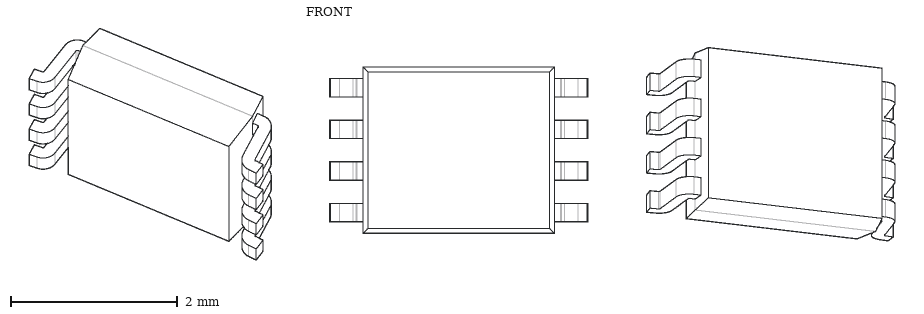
import cadquery as cq
import math


housing_length = 2.3
housing_width = 2.0
back_depth = 0.353
front_depth = 0.495
draft_angle = 7.0

lead_span = 3.1
leads_per_side = 4
lead_pitch = 0.5
lead_width = 0.223
lead_thickness = 0.158
inner_bend_radius = 0.015
lead_root = 0.155
seating_depth = 0.648
knee_x = 1.305
leg_lean = 4.7
foot_droop = 4.0


def make_housing_half(depth, direction):
    """Drafted block growing from the parting plane; direction is +1 for +Y, -1 for -Y."""
    plane = cq.Plane(origin=(0, 0, 0), xDir=(1, 0, 0), normal=(0, direction, 0))
    return cq.Workplane(plane).rect(housing_length, housing_width).extrude(depth, taper=draft_angle)


def make_housing():
    """Moulded block, widest at the parting plane and drafted toward both faces."""
    return make_housing_half(back_depth, 1).union(make_housing_half(front_depth, -1))


def make_lead_centreline():
    """Gull-wing path of the lead on the +X side, from inside the housing to the tip."""
    half_thickness = lead_thickness / 2
    lean = math.tan(math.radians(leg_lean))
    droop = math.radians(foot_droop)

    shoulder_y = half_thickness
    tip_x = lead_span / 2 - half_thickness * math.sin(droop)
    tip_y = half_thickness * math.cos(droop) - seating_depth

    foot_slope = math.tan(droop)
    drop = (shoulder_y - tip_y - foot_slope * (tip_x - knee_x)) / (1 - foot_slope * lean)
    ankle_x = knee_x + drop * lean
    ankle_y = shoulder_y - drop

    corners = [
        cq.Vector(housing_length / 2 - lead_root, shoulder_y),
        cq.Vector(knee_x, shoulder_y),
        cq.Vector(ankle_x, ankle_y),
        cq.Vector(tip_x, tip_y),
    ]
    path = cq.Wire.makePolygon(corners)
    bends = [v for v in path.Vertices() if corners[0].x < v.X < tip_x - half_thickness]
    return path.fillet(inner_bend_radius + half_thickness, bends)


def make_lead(housing):
    """One lead on the +X side, centred on Z = 0 and ending flush on the drafted housing wall."""
    path = make_lead_centreline()
    start = path.startPoint()
    section = cq.Workplane("YZ", origin=start.toTuple()).rect(lead_thickness, lead_width)
    return section.sweep(cq.Workplane(obj=path)).cut(housing)


housing = make_housing()

right_lead = make_lead(housing)
left_lead = right_lead.mirror("YZ")

leads = []
for row in range(leads_per_side):
    row_z = (row - (leads_per_side - 1) / 2) * lead_pitch
    for lead in (right_lead, left_lead):
        leads.append(lead.translate((0, 0, row_z)).val())

result = cq.Compound.makeCompound([housing.val(), *leads])